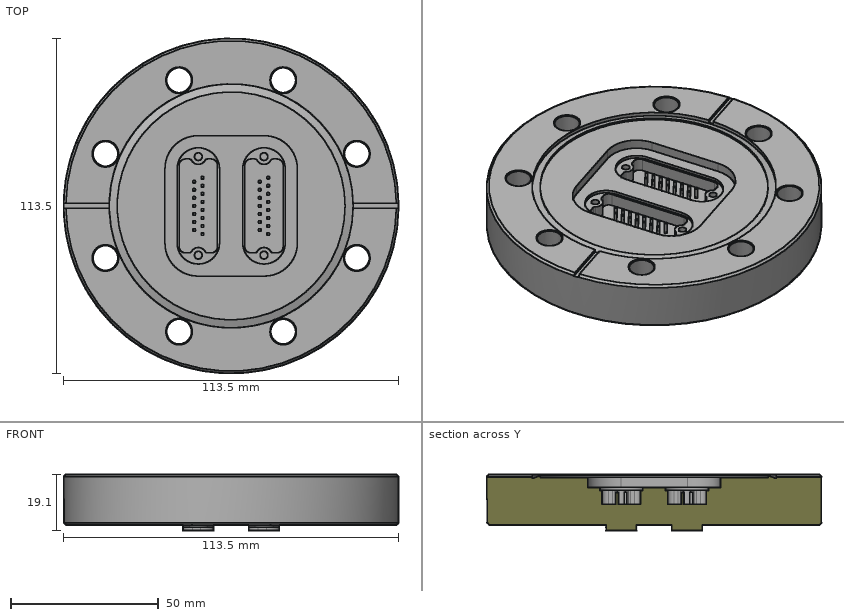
import cadquery as cq
import math

flange_diameter = 113.5
flange_thickness = 17.3
rim_chamfer = 0.8

bolt_count = 8
bolt_circle_radius = 46.1
bolt_hole_diameter = 8.4
bolt_hole_chamfer = 0.28

recess_radius = 41.3
recess_depth = 1.4
knife_radius = 38.6
knife_angle = 20.0
knife_tip_depth = recess_depth - (recess_radius - knife_radius) * math.tan(math.radians(knife_angle))
floor_depth = 1.0
leak_groove_width = 1.7
leak_groove_depth = 0.9

pocket_width = 44.8
pocket_length = 47.6
pocket_corner_radius = 11.1
pocket_depth = 3.4

connector_pitch = 22.3
slot_width = 14.4
slot_length = 39.4
slot_depth = 1.0
cavity_width = 13.0
cavity_length = 31.8
cavity_depth = 4.7
cavity_corner_radius = 2.0
screw_offset = 16.7
screw_hole_diameter = 2.6
screw_boss_radius = 2.6
screw_boss_blend = 0.9

pin_diameter = 0.94
pin_height = 4.0
pin_pitch = 2.7
pin_row_spacing = 2.8
left_row_pins = 7
right_row_pins = 8

underside_width = 10.5
plate_thickness = 0.7
plate_end_radius = 3.2
plate_shoulder = 10.0
plate_shoulder_radius = 3.3
shell_height = 1.1
shell_mean_length = 26.6
shell_side_angle = 10.0
shell_corner_radius = 3.9

floor_z = flange_thickness - floor_depth
pocket_z = floor_z - pocket_depth
slot_z = pocket_z - slot_depth
cavity_z = slot_z - cavity_depth
connector_centers = [(-connector_pitch / 2, 0), (connector_pitch / 2, 0)]
screw_points = [(0, -screw_offset), (0, screw_offset)]


def make_flange():
    """Chamfered disc with the knife-edge seal turned into its top face."""
    flange = (
        cq.Workplane("XY")
        .circle(flange_diameter / 2)
        .extrude(flange_thickness)
        .edges()
        .chamfer(rim_chamfer)
    )
    seal_profile = [
        (0, flange_thickness),
        (recess_radius, flange_thickness),
        (recess_radius, flange_thickness - recess_depth),
        (knife_radius, flange_thickness - knife_tip_depth),
        (knife_radius, floor_z),
        (0, floor_z),
    ]
    seal = cq.Workplane("XZ").polyline(seal_profile).close().revolve(360, (0, 0, 0), (0, 1, 0))
    return flange.cut(seal)


def make_leak_grooves():
    """Radial test grooves on both sides, from the rim to the seal recess."""
    groove = (
        cq.Workplane("XY", origin=(0, 0, flange_thickness - leak_groove_depth))
        .rect(flange_diameter, leak_groove_width)
        .extrude(leak_groove_depth)
    )
    inner_disc = cq.Workplane("XY").circle(recess_radius).extrude(flange_thickness)
    return groove.cut(inner_disc)


def make_bolt_holes():
    """Through holes on the bolt circle, straddling the axes, chamfered at both ends."""
    hole = cq.Workplane("XY").circle(bolt_hole_diameter / 2).extrude(flange_thickness)
    for z, direction in ((0, 1), (flange_thickness, -1)):
        mouth = cq.Solid.makeCone(
            bolt_hole_diameter / 2 + bolt_hole_chamfer,
            bolt_hole_diameter / 2,
            bolt_hole_chamfer,
            cq.Vector(0, 0, z),
            cq.Vector(0, 0, direction),
        )
        hole = hole.union(cq.Workplane(mouth))
    holes = cq.Workplane("XY")
    for index in range(bolt_count):
        angle = (index + 0.5) * 360 / bolt_count
        holes = holes.add(hole.translate((bolt_circle_radius, 0, 0)).rotate((0, 0, 0), (0, 0, 1), angle))
    return holes.combine()


def make_pocket():
    """Rounded pocket holding both connectors."""
    return (
        cq.Workplane("XY", origin=(0, 0, pocket_z))
        .rect(pocket_width, pocket_length)
        .extrude(floor_z - pocket_z)
        .edges("|Z")
        .fillet(pocket_corner_radius)
    )


def make_cavity():
    """Contact cavity with a rounded screw boss reaching into each end."""
    cavity = (
        cq.Workplane("XY", origin=(0, 0, cavity_z))
        .rect(cavity_width, cavity_length)
        .extrude(cavity_depth)
        .edges("|Z")
        .fillet(cavity_corner_radius)
    )
    bosses = (
        cq.Workplane("XY", origin=(0, 0, cavity_z))
        .pushPoints(screw_points)
        .circle(screw_boss_radius)
        .extrude(cavity_depth)
    )
    boss_corners = cq.selectors.BoxSelector(
        (-screw_boss_radius - screw_boss_blend, -cavity_length, 0),
        (screw_boss_radius + screw_boss_blend, cavity_length, flange_thickness),
    )
    return cavity.cut(bosses).edges("|Z").edges(boss_corners).fillet(screw_boss_blend)


def make_pins():
    """Two staggered rows of pins standing on the cavity floor."""
    points = []
    for x, count in ((-pin_row_spacing / 2, left_row_pins), (pin_row_spacing / 2, right_row_pins)):
        for index in range(count):
            points.append((x, (index - (count - 1) / 2) * pin_pitch))
    return (
        cq.Workplane("XY", origin=(0, 0, cavity_z))
        .pushPoints(points)
        .circle(pin_diameter / 2)
        .extrude(pin_height)
    )


def make_connector_cut():
    """Everything removed for one connector: slot, cavity and blind screw holes."""
    slot = (
        cq.Workplane("XY", origin=(0, 0, slot_z))
        .slot2D(slot_length, slot_width, 90)
        .extrude(slot_depth)
    )
    screw_holes = (
        cq.Workplane("XY", origin=(0, 0, cavity_z))
        .pushPoints(screw_points)
        .circle(screw_hole_diameter / 2)
        .extrude(cavity_depth)
    )
    return slot.union(make_cavity()).union(screw_holes).cut(make_pins())


def make_plate():
    """Lozenge plate: wide middle, sides running tangent into round ends about the screws."""
    half_width = underside_width / 2
    shoulder_to_screw = screw_offset - plate_shoulder
    distance = math.hypot(shoulder_to_screw, half_width)
    taper = math.atan2(half_width, shoulder_to_screw) - math.asin(plate_end_radius / distance)
    tangent_x = plate_end_radius * math.cos(taper)
    tangent_y = screw_offset + plate_end_radius * math.sin(taper)
    end_y = screw_offset + plate_end_radius
    plate = (
        cq.Workplane("XY")
        .moveTo(half_width, -plate_shoulder)
        .lineTo(half_width, plate_shoulder)
        .lineTo(tangent_x, tangent_y)
        .threePointArc((0, end_y), (-tangent_x, tangent_y))
        .lineTo(-half_width, plate_shoulder)
        .lineTo(-half_width, -plate_shoulder)
        .lineTo(-tangent_x, -tangent_y)
        .threePointArc((0, -end_y), (tangent_x, -tangent_y))
        .close()
        .extrude(-plate_thickness)
    )
    shoulders = cq.selectors.BoxSelector(
        (-underside_width, -screw_offset, -flange_thickness),
        (underside_width, screw_offset, flange_thickness),
    )
    return plate.edges("|Z").edges(shoulders).fillet(plate_shoulder_radius)


def make_shell():
    """D-shaped shell, longer on its +X side."""
    half_width = underside_width / 2
    half_length = shell_mean_length / 2
    side_shift = half_width * math.tan(math.radians(shell_side_angle))
    outline = [
        (-half_width, -half_length + side_shift),
        (half_width, -half_length - side_shift),
        (half_width, half_length + side_shift),
        (-half_width, half_length - side_shift),
    ]
    return (
        cq.Workplane("XY")
        .polyline(outline)
        .close()
        .extrude(-plate_thickness - shell_height)
        .edges("|Z")
        .fillet(shell_corner_radius)
    )


result = make_flange().cut(make_leak_grooves()).cut(make_bolt_holes()).cut(make_pocket())
connector_cut = make_connector_cut()
underside = make_plate().union(make_shell())
for x, y in connector_centers:
    result = result.cut(connector_cut.translate((x, y, 0)))
    result = result.union(underside.translate((x, y, 0)))